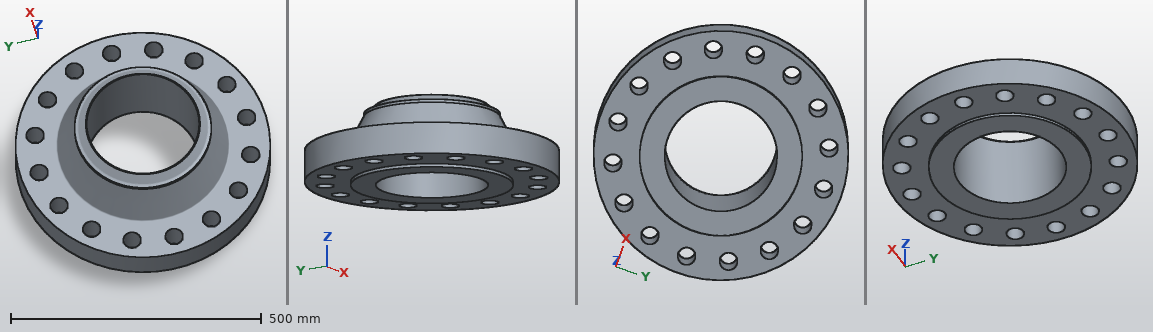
import cadquery as cq

flange_diameter = 508.0
flange_thickness = 63.5
raised_face_diameter = 324.0
raised_face_height = 6.5

hub_base_diameter = 343.0
hub_base_fillet = 3.0
neck_diameter = 272.5
neck_bottom_z = 138.0
shoulder_z = 144.0
overall_height = 159.0
bevel_base_diameter = 259.0
bevel_base_z = 146.0
bevel_root_fillet = 3.0
bore_diameter = 224.0
weld_land_width = 2.0

bolt_count = 16
bolt_circle_diameter = 431.5
bolt_hole_diameter = 35.0

flange_top_z = raised_face_height + flange_thickness


def ring_profile():
    """Half section of the flange, from the bore outwards (X is the radius, Y is the height)."""
    bore_radius = bore_diameter / 2
    return (
        cq.Workplane("XZ")
        .moveTo(bore_radius, 0)
        .lineTo(raised_face_diameter / 2, 0)
        .lineTo(raised_face_diameter / 2, raised_face_height)
        .lineTo(flange_diameter / 2, raised_face_height)
        .lineTo(flange_diameter / 2, flange_top_z)
        .lineTo(hub_base_diameter / 2, flange_top_z)
        .lineTo(neck_diameter / 2, neck_bottom_z)
        .lineTo(neck_diameter / 2, shoulder_z)
        .lineTo(bevel_base_diameter / 2, bevel_base_z)
        .lineTo(bore_radius + weld_land_width, overall_height)
        .lineTo(bore_radius, overall_height)
        .close()
    )


def fillet_ring_edge(solid, edge_diameter, fillet_radius):
    """Round the one circular edge that has the given diameter."""
    tolerance = 0.005
    return (
        solid.edges("%CIRCLE")
        .filter(lambda edge: abs(2 * edge.radius() - edge_diameter) < tolerance)
        .fillet(fillet_radius)
    )


body = ring_profile().revolve(360, (0, 0, 0), (0, 1, 0))
body = fillet_ring_edge(body, hub_base_diameter, hub_base_fillet)
body = fillet_ring_edge(body, bevel_base_diameter, bevel_root_fillet)

bolt_holes = (
    cq.Workplane("XY")
    .polarArray(bolt_circle_diameter / 2, 0, 360, bolt_count)
    .circle(bolt_hole_diameter / 2)
    .extrude(flange_top_z)
)

result = body.cut(bolt_holes)